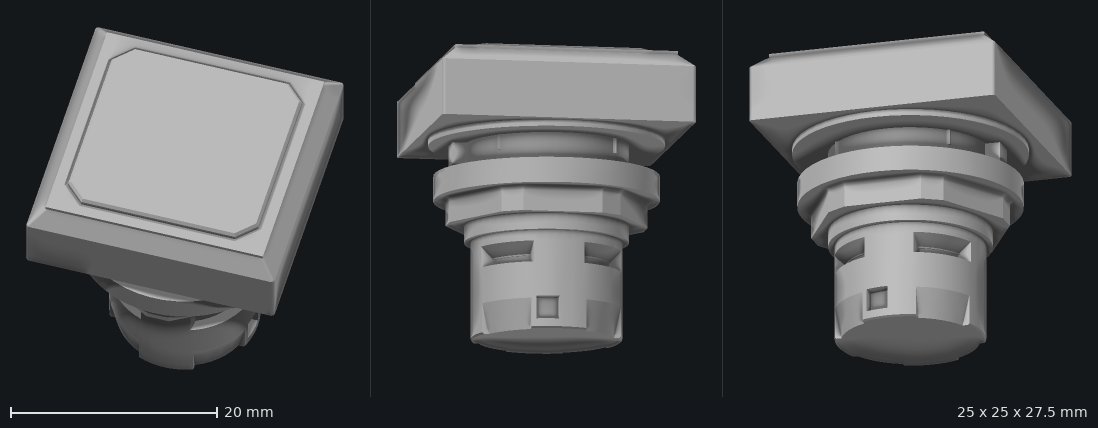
import cadquery as cq
import math

TOTAL_HEIGHT = 27.45

HEAD_SIDE = 25.0
HEAD_BOTTOM = 19.8
HEAD_WALL_TOP = 25.28
PLATE_BOTTOM = 26.65
PLATE_TOP = 26.98
PLATE_SIDE = 21.9
HEAD_CORNER_RADIUS = 0.33

BUTTON_SIDE = 19.15
BUTTON_CORNER_CUT = 1.85
BUTTON_EDGE_CHAMFER = 0.25
OPENING_SIDE = 19.87
OPENING_CORNER_CUT = 2.1
OPENING_DEPTH = 0.15

RING_DIAMETER = 23.0
RING_BOTTOM = 19.15

NECK_DIAMETER = 16.0
RIB_CORNER_DIAMETER = 16.5
RIB_BOTTOM = 17.65
TAB_REACH = 9.45
TAB_WIDTH = 2.2
TAB_BOTTOM = 17.0
TAB_TOP = 19.08

DISC_DIAMETER = 22.0
DISC_BOTTOM = 13.72
DISC_TOP = 16.2
DISC_RECESS_DIAMETER = 19.5
DISC_RECESS_DEPTH = 1.87
NUT_ACROSS_FLATS = 18.0
NUT_ACROSS_CORNER_FLATS = 19.5
NUT_BOTTOM = 11.2
NUT_FILLET_RADIUS = 0.5

SHOULDER_BOTTOM = 9.63
BODY_DIAMETER = 14.7
BODY_RADIUS = BODY_DIAMETER / 2
BODY_EDGE_CHAMFER = 0.16
CUT_CLEARANCE_RADIUS = BODY_RADIUS + 0.82

WINDOW_BOTTOM = 6.55
WINDOW_TOP = 8.62
WINDOW_FLOOR_RADIUS = 6.29
WINDOW_LIP_RADIUS = 6.4
WINDOW_LIP_BOTTOM = 7.33
WINDOW_LIP_TOP = 7.47
WINDOW_MOUTH_HALF_WIDTH = 3.13
WINDOW_FLOOR_HALF_WIDTH = 2.1

NOTCH_HEIGHT = 3.0
NOTCH_BOTTOM_RADIUS = 6.75
NOTCH_MOUTH_HALF_WIDTH = 2.9
NOTCH_FLOOR_HALF_WIDTH = 2.42

POCKET_SIDE = 2.25
POCKET_BOTTOM = 0.93
POCKET_FLOOR_DIAMETER = 12.1

DIAGONALS = (45, 135, 225, 315)


def cylinder(diameter, bottom, top):
    return cq.Workplane("XY").workplane(offset=bottom).circle(diameter / 2).extrude(top - bottom)


def box(side, bottom, top):
    return cq.Workplane("XY").workplane(offset=bottom).rect(side, side).extrude(top - bottom)


def cut_corner_square(side, corner_cut, inset=0):
    """Points of a square with its corners cut at 45 degrees, all eight sides moved in by inset."""
    far = side / 2 - inset
    near = far - corner_cut + inset * (2 - math.sqrt(2))
    return [
        (far, -near), (far, near), (near, far), (-near, far),
        (-far, near), (-far, -near), (-near, -far), (near, -far),
    ]


def cut_corner_bevel(bottom_outline, bottom, top_outline, top):
    return (
        cq.Workplane("XY").workplane(offset=bottom).polyline(bottom_outline).close()
        .workplane(offset=top - bottom).polyline(top_outline).close()
        .loft(ruled=True)
    )


def make_head():
    slope = (
        cq.Workplane("XY").workplane(offset=HEAD_WALL_TOP).rect(HEAD_SIDE, HEAD_SIDE)
        .workplane(offset=PLATE_BOTTOM - HEAD_WALL_TOP).rect(PLATE_SIDE, PLATE_SIDE)
        .loft(ruled=True)
    )
    head = box(HEAD_SIDE, HEAD_BOTTOM, HEAD_WALL_TOP).union(slope)
    head = head.edges("not #Z").fillet(HEAD_CORNER_RADIUS)
    return head.union(box(PLATE_SIDE, PLATE_BOTTOM, PLATE_TOP))


def add_button(head):
    opening_bottom = PLATE_TOP - OPENING_DEPTH
    button_edge = TOTAL_HEIGHT - BUTTON_EDGE_CHAMFER
    button_outline = cut_corner_square(BUTTON_SIDE, BUTTON_CORNER_CUT)

    opening = cut_corner_bevel(
        cut_corner_square(OPENING_SIDE, OPENING_CORNER_CUT, OPENING_DEPTH), opening_bottom,
        cut_corner_square(OPENING_SIDE, OPENING_CORNER_CUT), PLATE_TOP,
    )
    button = (
        cq.Workplane("XY").workplane(offset=opening_bottom).polyline(button_outline).close()
        .extrude(button_edge - opening_bottom)
    )
    bevel = cut_corner_bevel(
        button_outline, button_edge,
        cut_corner_square(BUTTON_SIDE, BUTTON_CORNER_CUT, BUTTON_EDGE_CHAMFER), TOTAL_HEIGHT,
    )
    return head.cut(opening).union(button).union(bevel)


def make_neck():
    rib_side = RIB_CORNER_DIAMETER / math.sqrt(2)
    ring = cylinder(RING_DIAMETER, RING_BOTTOM, HEAD_BOTTOM)
    neck = cylinder(NECK_DIAMETER, SHOULDER_BOTTOM, RING_BOTTOM)
    ribs = box(rib_side, RIB_BOTTOM, RING_BOTTOM)
    tab = (
        cq.Workplane("XY").workplane(offset=TAB_BOTTOM)
        .center(0, TAB_REACH / 2).rect(TAB_WIDTH, TAB_REACH)
        .extrude(TAB_TOP - TAB_BOTTOM)
    )
    return neck.union(ring).union(ribs).union(tab)


def hexagon(across_flats, first_corner_angle):
    across_corners = across_flats / math.cos(math.radians(30))
    return (
        cq.Workplane("XY").workplane(offset=NUT_BOTTOM)
        .transformed(rotate=(0, 0, first_corner_angle))
        .polygon(6, across_corners)
        .extrude(DISC_BOTTOM - NUT_BOTTOM)
    )


def make_nut():
    disc = cylinder(DISC_DIAMETER, DISC_BOTTOM, DISC_TOP)
    recess = cylinder(DISC_RECESS_DIAMETER, DISC_TOP - DISC_RECESS_DEPTH, DISC_TOP)
    nut = hexagon(NUT_ACROSS_FLATS, 30).intersect(hexagon(NUT_ACROSS_CORNER_FLATS, 0))
    nut = disc.union(nut)
    root = nut.faces("<Z[1]").edges("%LINE")
    nut = root.fillet(NUT_FILLET_RADIUS)
    return nut.cut(recess)


def diagonal_wedge(floor_radius, floor_half_width, mouth_half_width, bottom, top):
    """Prism about +X whose side walls pass through the floor and mouth corners."""
    floor_x = math.sqrt(floor_radius**2 - floor_half_width**2)
    mouth_x = math.sqrt(BODY_RADIUS**2 - mouth_half_width**2)
    flare = (mouth_half_width - floor_half_width) / (mouth_x - floor_x)
    outer_half_width = mouth_half_width + flare * (CUT_CLEARANCE_RADIUS - mouth_x)
    return (
        cq.Workplane("XY").workplane(offset=bottom)
        .polyline([
            (floor_x, -floor_half_width),
            (CUT_CLEARANCE_RADIUS, -outer_half_width),
            (CUT_CLEARANCE_RADIUS, outer_half_width),
            (floor_x, floor_half_width),
        ])
        .close()
        .extrude(top - bottom)
    )


def revolved_cutter(profile):
    """Turn (radius, height) points around the Z axis."""
    return cq.Workplane("XZ").polyline(profile).close().revolve(360, (0, 0, 0), (0, 1, 0))


def make_window():
    roof_slope = (WINDOW_TOP - WINDOW_LIP_TOP) / (BODY_RADIUS - WINDOW_LIP_RADIUS)
    roof_top = WINDOW_TOP + roof_slope * (CUT_CLEARANCE_RADIUS - BODY_RADIUS)
    band = revolved_cutter([
        (WINDOW_FLOOR_RADIUS, WINDOW_BOTTOM),
        (CUT_CLEARANCE_RADIUS, WINDOW_BOTTOM),
        (CUT_CLEARANCE_RADIUS, roof_top),
        (WINDOW_LIP_RADIUS, WINDOW_LIP_TOP),
        (WINDOW_LIP_RADIUS, WINDOW_LIP_BOTTOM),
        (WINDOW_FLOOR_RADIUS, WINDOW_LIP_BOTTOM),
    ])
    wedge = diagonal_wedge(
        WINDOW_FLOOR_RADIUS, WINDOW_FLOOR_HALF_WIDTH, WINDOW_MOUTH_HALF_WIDTH,
        WINDOW_BOTTOM, WINDOW_TOP,
    )
    return wedge.intersect(band)


def make_notch():
    band = revolved_cutter([
        (NOTCH_BOTTOM_RADIUS, 0),
        (CUT_CLEARANCE_RADIUS, 0),
        (CUT_CLEARANCE_RADIUS, NOTCH_HEIGHT),
        (BODY_RADIUS, NOTCH_HEIGHT),
    ])
    wedge = diagonal_wedge(
        NOTCH_BOTTOM_RADIUS, NOTCH_FLOOR_HALF_WIDTH, NOTCH_MOUTH_HALF_WIDTH,
        0, NOTCH_HEIGHT,
    )
    return wedge.intersect(band)


def make_pockets():
    """Square pockets lying on the +Y side of -X and the -Y side of +X."""
    slots = (
        cq.Workplane("XY").workplane(offset=POCKET_BOTTOM)
        .pushPoints([
            (-CUT_CLEARANCE_RADIUS / 2, POCKET_SIDE / 2),
            (CUT_CLEARANCE_RADIUS / 2, -POCKET_SIDE / 2),
        ])
        .rect(CUT_CLEARANCE_RADIUS, POCKET_SIDE)
        .extrude(POCKET_SIDE)
    )
    return slots.cut(cylinder(POCKET_FLOOR_DIAMETER, 0, POCKET_BOTTOM + POCKET_SIDE))


def make_body():
    body = cylinder(BODY_DIAMETER, 0, SHOULDER_BOTTOM)
    body = body.faces("<Z").chamfer(BODY_EDGE_CHAMFER)
    window = make_window()
    notch = make_notch()
    for angle in DIAGONALS:
        for cutter in (window, notch):
            body = body.cut(cutter.rotate((0, 0, 0), (0, 0, 1), angle))
    return body.cut(make_pockets())


result = add_button(make_head()).union(make_neck()).union(make_nut()).union(make_body())